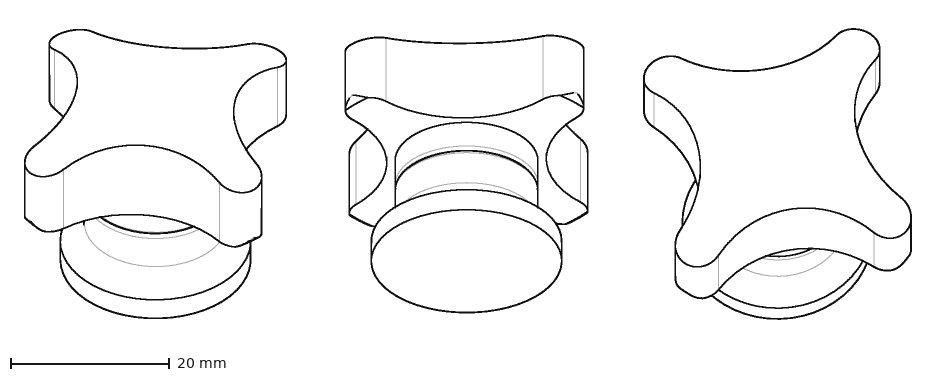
import cadquery as cq
import math

span_radius = 20.0
total_height = 27.0

base_radius = 12.0
base_height = 3.0
neck_radius = 9.0
flare_radius = base_radius - neck_radius
groove_height = 11.0
groove_width = 1.0
groove_depth = 0.4

head_bottom = 15.0
rim_height = 23.6
edge_height = 1.0
edge_inset = 0.7
arm_tip_radius = 3.0
arm_center = span_radius - arm_tip_radius
scallop_radius = arm_center - arm_tip_radius
arm_count = 4


def side_round_middle(side_radius, tangent_height, inset, rise):
    """Middle of an arc that leaves the side vertically and curves inward by `inset` over `rise`."""
    arc_radius = (rise**2 + inset**2) / (2 * inset)
    half_angle = math.atan2(inset, abs(rise))
    middle_inset = arc_radius * (1 - math.cos(half_angle))
    middle_rise = math.copysign(arc_radius * math.sin(half_angle), rise)
    return (side_radius - middle_inset, tangent_height + middle_rise)


def make_stem():
    """Base disc, concave flare and cylindrical neck with a groove between two rounded edges."""
    flare_top = base_height + flare_radius
    flare_offset = flare_radius * (1 - math.sqrt(0.5))
    flare_middle = (neck_radius + flare_offset, base_height + flare_offset)
    groove_half = groove_width / 2
    groove_start = groove_height - groove_half
    groove_end = groove_height + groove_half
    lower_round = side_round_middle(neck_radius, groove_start, groove_depth, groove_half)
    upper_round = side_round_middle(neck_radius, groove_end, groove_depth, -groove_half)
    groove_root = (neck_radius - groove_depth, groove_height)
    return (
        cq.Workplane("XZ")
        .lineTo(base_radius, 0)
        .lineTo(base_radius, base_height)
        .threePointArc(flare_middle, (neck_radius, flare_top))
        .lineTo(neck_radius, groove_start)
        .threePointArc(lower_round, groove_root)
        .threePointArc(upper_round, (neck_radius, groove_end))
        .lineTo(neck_radius, head_bottom)
        .lineTo(0, head_bottom)
        .close()
        .revolve(360, (0, 0), (0, 1))
    )


def make_arm_prism():
    """Cross outline of rounded tips joined by tangent concave arcs."""
    def turned(x, y, angle):
        cosine = math.cos(angle)
        sine = math.sin(angle)
        return (x * cosine - y * sine, x * sine + y * cosine)

    scallop_middle = arm_center - scallop_radius * math.sqrt(0.5)
    outline = cq.Workplane("XY").workplane(offset=head_bottom).moveTo(arm_center, -arm_tip_radius)
    for arm in range(arm_count):
        angle = arm * 2 * math.pi / arm_count
        outline = outline.threePointArc(
            turned(span_radius, 0, angle), turned(arm_center, arm_tip_radius, angle)
        )
        outline = outline.threePointArc(
            turned(scallop_middle, scallop_middle, angle), turned(arm_tip_radius, arm_center, angle)
        )
    return outline.close().extrude(total_height - head_bottom)


def make_head_envelope():
    """Turned blank with a domed top and a rounded lower rim."""
    dome_rise = total_height - rim_height
    dome_radius = (span_radius**2 + dome_rise**2) / (2 * dome_rise)
    middle_radius = span_radius / 2
    middle_height = total_height - dome_radius + math.sqrt(dome_radius**2 - middle_radius**2)
    edge_top = head_bottom + edge_height
    edge_middle = side_round_middle(span_radius, edge_top, edge_inset, -edge_height)
    return (
        cq.Workplane("XZ")
        .moveTo(0, head_bottom)
        .lineTo(span_radius - edge_inset, head_bottom)
        .threePointArc(edge_middle, (span_radius, edge_top))
        .lineTo(span_radius, rim_height)
        .threePointArc((middle_radius, middle_height), (0, total_height))
        .close()
        .revolve(360, (0, 0), (0, 1))
    )


head = make_arm_prism().intersect(make_head_envelope())
result = make_stem().union(head)